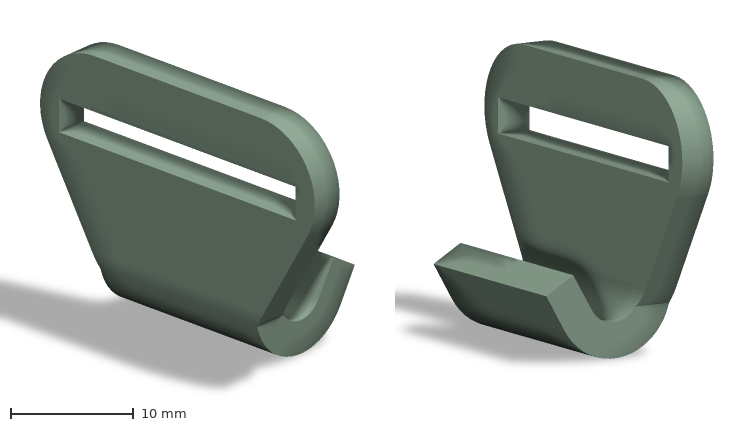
import cadquery as cq
import math

width = 30.3
height = 23.0
thickness = 3.0
corner_radius = 6.0
hook_width = 17.27
hook_outer_radius = 5.48
tip_length = 3.5
slot_length = 26.1
slot_height = 3.0
slot_top_margin = 4.97
slant = math.radians(30)

hook_inner_radius = hook_outer_radius - thickness
hook_center = (hook_outer_radius, hook_outer_radius)
corner_x = width / 2 - corner_radius
corner_z = height - corner_radius
tangent_x = corner_x + corner_radius * math.cos(slant)
tangent_z = corner_z - corner_radius * math.sin(slant)
taper_end_z = tangent_z - (tangent_x - hook_width / 2) / math.tan(slant)


def hook_point(radius, angle):
    """Point (Y, Z) on a circle about the hook centre."""
    return (
        hook_center[0] + radius * math.cos(angle),
        hook_center[1] + radius * math.sin(angle),
    )


def along_tip(point):
    """Move a (Y, Z) point from the hook bend to the end of the tip."""
    return (
        point[0] + tip_length * math.sin(slant),
        point[1] + tip_length * math.cos(slant),
    )


def bent_strip(strip_width):
    """Plate and J-shaped hook as a strip of constant width, centred on X = 0."""
    bottom = -math.pi / 2
    outer_end = hook_point(hook_outer_radius, -slant)
    inner_end = hook_point(hook_inner_radius, -slant)
    return (
        cq.Workplane("YZ")
        .moveTo(0, height)
        .lineTo(0, hook_center[1])
        .threePointArc(hook_point(hook_outer_radius, bottom), outer_end)
        .lineTo(*along_tip(outer_end))
        .lineTo(*along_tip(inner_end))
        .lineTo(*inner_end)
        .threePointArc(hook_point(hook_inner_radius, bottom), (thickness, hook_center[1]))
        .lineTo(thickness, height)
        .close()
        .extrude(strip_width / 2, both=True)
    )


def plate_outline():
    """Rounded, tapered front outline, reaching back to the middle of the hook."""
    arc_angle = math.radians(30)
    arc_x = corner_x + corner_radius * math.cos(arc_angle)
    arc_z = corner_z + corner_radius * math.sin(arc_angle)
    return (
        cq.Workplane("XZ")
        .moveTo(-corner_x, height)
        .lineTo(corner_x, height)
        .threePointArc((arc_x, arc_z), (tangent_x, tangent_z))
        .lineTo(hook_width / 2, taper_end_z)
        .lineTo(hook_width / 2, 0)
        .lineTo(-hook_width / 2, 0)
        .lineTo(-hook_width / 2, taper_end_z)
        .lineTo(-tangent_x, tangent_z)
        .threePointArc((-arc_x, arc_z), (-corner_x, height))
        .close()
        .extrude(-hook_center[0])
    )


def strap_slot():
    """Rectangular slot through the plate."""
    slot_z = height - slot_top_margin - slot_height / 2
    return (
        cq.Workplane("XZ")
        .center(0, slot_z)
        .rect(slot_length, slot_height)
        .extrude(-thickness)
    )


plate = bent_strip(width).intersect(plate_outline())
rear_hook = bent_strip(hook_width).intersect(
    cq.Workplane("XY")
    .box(width, width, height, centered=(True, False, False))
    .translate((0, hook_center[0], 0))
)
result = plate.union(rear_hook).cut(strap_slot())